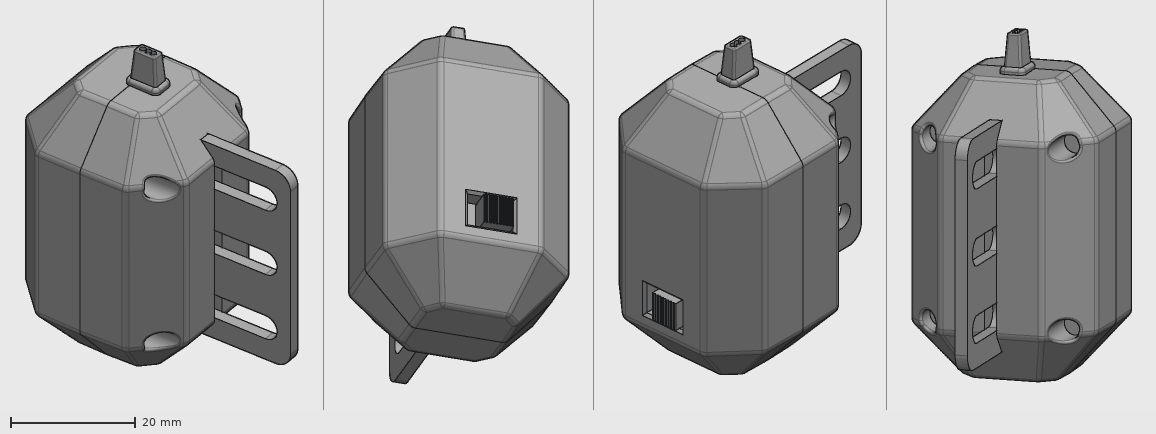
import cadquery as cq
import math

housing_width = 32.0
housing_height = 49.95
shoulder_height = 32.05
end_width = 16.0
wall_corner = 8.85
end_corner = 5.7
draft_angle = 1.1
edge_radius = 1.5

plate_right = 30.95
plate_left = 9.0
plate_height = 38.1
plate_thickness = 2.1
plate_corner_radius = 3.0
slot_width = 4.55
slot_pitch = 12.7
slot_count = 3
slot_margin = 2.65

screw_offset_y = 11.4
screw_offset_z = 15.0
screw_hole_diameter = 3.85
screw_rim_radius = 0.35
rim_tolerance = 0.005
screw_floor = 6.75

gland_x = 2.15
gland_length = 6.5
gland_width = 4.35
gland_flange_height = 1.0
gland_sink = 1.1
gland_corner_radius = 1.0
gland_flange_rounding = 0.7
gland_rise = 6.45
stem_top_length = 4.2
stem_top_width = 2.25
stem_corner_radius = 0.4
stem_top_rounding = 0.3
wire_hole_diameter = 1.05
wire_hole_pitch = 1.0

window_z = -10.55
window_width = 7.7
window_height = 5.65
window_chamfer = 0.5
window_depth = 3.4
switch_body_depth = 3.4
slider_y = -1.0
slider_z = -10.5
slider_width = 5.1
slider_height = 5.1
slider_projection = 0.95
tooth_count = 9
tooth_depth = 0.2
tooth_land = 0.15
tooth_flank = 0.1

half_width = housing_width / 2
half_height = housing_height / 2
half_shoulder = shoulder_height / 2
half_end = end_width / 2
cutter_size = 3 * housing_width
stem_bottom_length = gland_length - 2 * gland_flange_rounding
stem_bottom_width = gland_width - 2 * gland_flange_rounding


def end_profile(plane):
    """Hexagonal outline of the housing: upright walls with two tapering ends."""
    right_side = [(half_end, -half_height), (half_width, -half_shoulder),
                  (half_width, half_shoulder), (half_end, half_height)]
    left_side = [(-u, v) for u, v in reversed(right_side)]
    return cq.Workplane(plane).polyline(right_side + left_side).close()


def make_bevel_cutters():
    """Two blocks outside the +X, +Y bevel: one along the wall, one along the upper slope."""
    lean = math.tan(math.radians(draft_angle))
    slope_angle = math.atan2(half_height - half_shoulder, half_width - half_end)
    shoulder_lean = lean * math.tan((math.pi / 2 - slope_angle) / 2)
    end_lean = lean * math.tan(slope_angle / 2)

    shoulder_point = cq.Vector(
        wall_corner, half_width - lean * wall_corner, half_shoulder - shoulder_lean * wall_corner
    )
    end_point = cq.Vector(
        end_corner, half_end - end_lean * end_corner, half_height - lean * end_corner
    )
    side_point = cq.Vector(
        half_width, shoulder_point.x + shoulder_point.y - half_width, half_shoulder
    )
    along = side_point - shoulder_point
    outward = (end_point - shoulder_point).cross(along)

    wall_plane = cq.Plane(shoulder_point, xDir=(1, -1, 0), normal=(1, 1, 0))
    slope_plane = cq.Plane(shoulder_point, xDir=along, normal=outward)
    return [
        cq.Workplane(plane).rect(cutter_size, cutter_size).extrude(cutter_size)
        for plane in (wall_plane, slope_plane)
    ]


def make_plain_half():
    """The +X half of the housing, without any openings."""
    half = end_profile("YZ").extrude(half_width, taper=draft_angle)
    half = half.intersect(end_profile("XZ").extrude(half_width, both=True))
    for cutter in make_bevel_cutters():
        for side in (cutter, cutter.mirror("XZ")):
            half = half.cut(side).cut(side.mirror("XY"))
    return half.edges("not <X").fillet(edge_radius)


def make_right_half(plain_half):
    half = plain_half.cut(make_screw_holes())
    rims = [edge for edge in half.edges().vals() if on_screw_rim(edge)]
    half = half.newObject(rims).fillet(screw_rim_radius)
    return half.cut(make_plate_recess()).cut(make_gland_base())


def make_left_half(plain_half):
    return plain_half.mirror("YZ").cut(make_window()).cut(make_gland_base())


def make_plate():
    plate = (
        cq.Workplane("XZ")
        .center((plate_left + plate_right) / 2, 0)
        .rect(plate_right - plate_left, plate_height)
        .extrude(plate_thickness / 2, both=True)
        .edges("|Y and >X").fillet(plate_corner_radius)
    )
    slot_length = plate_right - plate_left - 2 * slot_margin
    slots = (
        cq.Workplane("XZ")
        .center((plate_left + plate_right) / 2, 0)
        .rarray(0.55, slot_pitch, 1, slot_count)
        .slot2D(slot_length, slot_width)
        .extrude(plate_thickness, both=True)
    )
    return plate.cut(slots)


def make_plate_recess():
    return cq.Workplane("XY").box(
        plate_right - plate_left, plate_thickness, plate_height, centered=(False, True, True)
    ).translate((plate_left, 0, 0))


def make_screw_holes():
    return (
        cq.Workplane("YZ", origin=(screw_floor, 0, 0))
        .rect(2 * screw_offset_y, 2 * screw_offset_z, forConstruction=True).vertices()
        .circle(screw_hole_diameter / 2)
        .extrude(half_width)
    )


def on_screw_rim(edge):
    """True for the edges where a screw hole breaks through the outside of the housing."""
    middle = edge.positionAt(0.5)
    from_axis = math.hypot(abs(middle.y) - screw_offset_y, abs(middle.z) - screw_offset_z)
    on_wall = abs(from_axis - screw_hole_diameter / 2) < rim_tolerance
    return on_wall and edge.geomType() != "LINE" and middle.x > screw_floor + rim_tolerance


def make_gland_base():
    """Flange of the gland, down to the floor of its recess."""
    return (
        cq.Workplane("XY", origin=(gland_x, 0, half_height - gland_sink))
        .rect(gland_length, gland_width)
        .extrude(gland_sink + gland_flange_height)
        .edges("|Z").fillet(gland_corner_radius)
    )


def make_gland():
    base = make_gland_base().faces(">Z").edges().fillet(gland_flange_rounding)
    stem_height = gland_rise - gland_flange_height
    stem = (
        cq.Workplane("XY", origin=(gland_x, 0, half_height + gland_flange_height))
        .rect(stem_bottom_length, stem_bottom_width)
        .workplane(offset=stem_height).rect(stem_top_length, stem_top_width)
        .loft(ruled=True)
        .edges("not(<Z or >Z)").fillet(stem_corner_radius)
        .faces(">Z").edges().fillet(stem_top_rounding)
    )
    gland = base.union(stem)
    for step in (-1, 0, 1):
        gland = gland.cut(
            cq.Workplane("XY", origin=(gland_x + step * wire_hole_pitch, 0, half_height - gland_sink))
            .circle(wire_hole_diameter / 2)
            .extrude(gland_sink + gland_rise)
        )
    return gland


def make_window():
    """Opening in the -X wall, with a chamfered rim, down to the back of the switch body."""
    opening = (
        cq.Workplane("YZ", origin=(-half_width, 0, window_z))
        .rect(window_width, window_height)
        .extrude(window_depth + switch_body_depth)
    )
    rim = (
        cq.Workplane("YZ", origin=(-half_width, 0, window_z))
        .rect(window_width + 2 * window_chamfer, window_height + 2 * window_chamfer)
        .workplane(offset=window_chamfer).rect(window_width, window_height)
        .loft(ruled=True)
    )
    return opening.union(rim)


def make_switch_body():
    return (
        cq.Workplane("YZ", origin=(window_depth - half_width, 0, window_z))
        .rect(window_width, window_height)
        .extrude(switch_body_depth)
    )


def make_slider():
    """Slider block standing on the switch body, with upright trapezoidal teeth on its outer face."""
    tip_x = -half_width - slider_projection
    root_x = tip_x + tooth_depth
    back_x = window_depth - half_width
    start_y = slider_y - slider_width / 2
    pitch = slider_width / tooth_count
    outline = [(back_x, start_y), (root_x, start_y)]
    for tooth in range(tooth_count):
        middle = start_y + (tooth + 0.5) * pitch
        outline.append((root_x, middle - tooth_land / 2 - tooth_flank))
        outline.append((tip_x, middle - tooth_land / 2))
        outline.append((tip_x, middle + tooth_land / 2))
        outline.append((root_x, middle + tooth_land / 2 + tooth_flank))
    outline.append((root_x, start_y + slider_width))
    outline.append((back_x, start_y + slider_width))
    return (
        cq.Workplane("XY", origin=(0, 0, slider_z - slider_height / 2))
        .polyline(outline).close().extrude(slider_height)
    )


plain_half = make_plain_half()
right_half = make_right_half(plain_half)
left_half = make_left_half(plain_half)
plate = make_plate()
gland = make_gland()
switch_body = make_switch_body()
slider = make_slider()

bodies = [left_half, right_half, plate, gland, switch_body, slider]
result = cq.Compound.makeCompound([body.solids().val() for body in bodies])